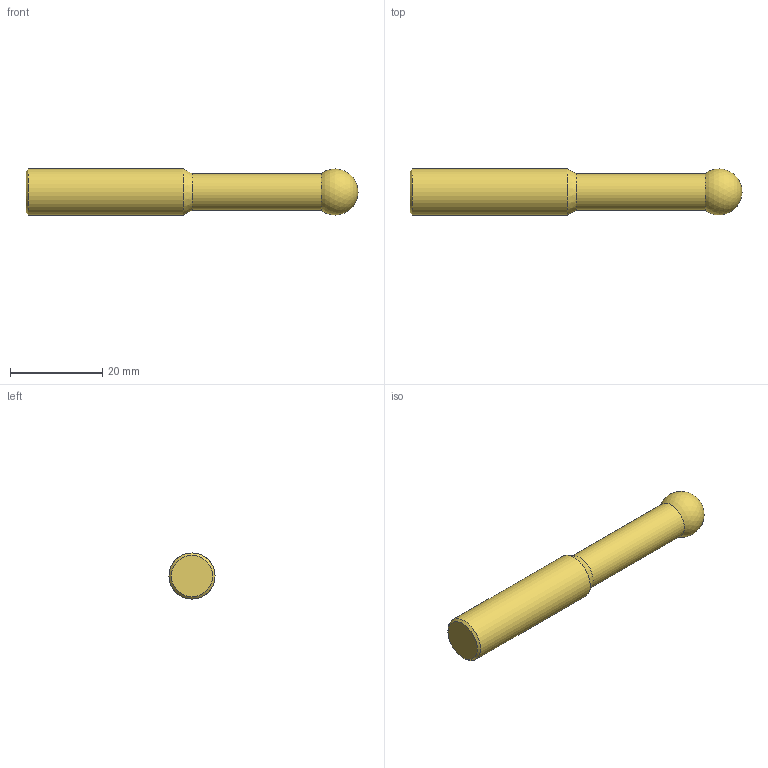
import cadquery as cq
import math

overall_length = 72.0
handle_diameter = 10.0
neck_diameter = 8.0
ball_diameter = 10.0
neck_start_x = 36.0
shoulder_length = 1.87
end_chamfer = 0.5

handle_radius = handle_diameter / 2
neck_radius = neck_diameter / 2
ball_radius = ball_diameter / 2
shoulder_start_x = neck_start_x - shoulder_length
ball_center_x = overall_length - ball_radius
neck_end_x = ball_center_x - math.sqrt(ball_radius**2 - neck_radius**2)


def make_half_profile():
    """Half section above the axis: chamfer, handle, tapered shoulder, neck and ball."""
    return (
        cq.Workplane("XY")
        .moveTo(0, 0)
        .lineTo(0, handle_radius - end_chamfer)
        .lineTo(end_chamfer, handle_radius)
        .lineTo(shoulder_start_x, handle_radius)
        .lineTo(neck_start_x, neck_radius)
        .lineTo(neck_end_x, neck_radius)
        .threePointArc((ball_center_x, ball_radius), (overall_length, 0))
        .close()
    )


result = make_half_profile().revolve(360, (0, 0, 0), (1, 0, 0))